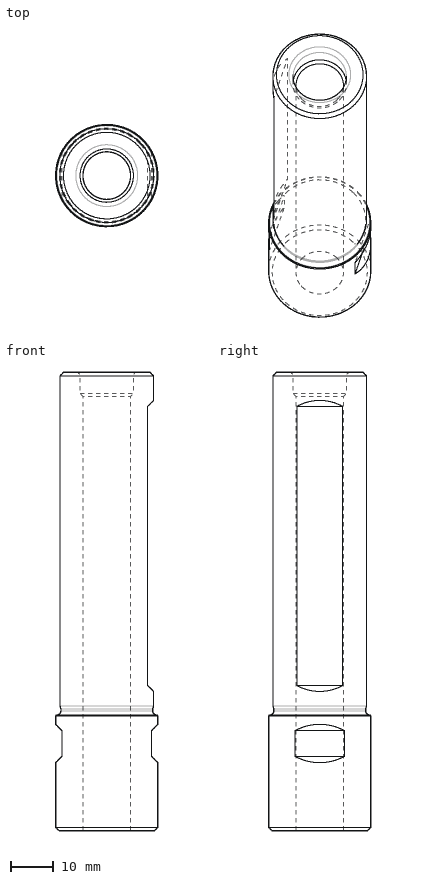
import cadquery as cq

total_height = 107.5
collar_diameter = 24.0
collar_height = 27.2
collar_top_chamfer = 0.2
shank_diameter = 22.0
end_chamfer = 0.85

relief_diameter = 21.6
relief_fillet = 0.9
relief_top = 28.6
relief_taper_height = 0.7

bore_diameter = 11.1
counterbore_diameter = 12.5
counterbore_depth = 5.0
mouth_fillet = 1.0

wrench_across_flats = 21.0
wrench_flat_height = 6.0
wrench_flat_center = 20.5

shank_flat_offset = 9.6
shank_flat_bottom = 34.1
shank_flat_top = 99.5


def revolve_about_z(outline):
    """Turn a closed XZ outline about the Z axis."""
    return outline.close().revolve(360, (0, 0), (0, 1))


def turned_body():
    collar_radius = collar_diameter / 2
    shank_radius = shank_diameter / 2
    relief_radius = relief_diameter / 2
    fillet_end_radius = relief_radius + relief_fillet
    fillet_end_height = collar_height + relief_fillet
    outline = (
        cq.Workplane("XZ")
        .lineTo(collar_radius - end_chamfer, 0)
        .lineTo(collar_radius, end_chamfer)
        .lineTo(collar_radius, collar_height - collar_top_chamfer)
        .lineTo(collar_radius - collar_top_chamfer, collar_height)
        .lineTo(fillet_end_radius, collar_height)
        .radiusArc((relief_radius, fillet_end_height), relief_fillet)
        .lineTo(relief_radius, relief_top)
        .lineTo(shank_radius, relief_top + relief_taper_height)
        .lineTo(shank_radius, total_height - end_chamfer)
        .lineTo(shank_radius - end_chamfer, total_height)
        .lineTo(0, total_height)
    )
    return revolve_about_z(outline)


def stepped_bore():
    bore_radius = bore_diameter / 2
    counterbore_radius = counterbore_diameter / 2
    seat_top = total_height - counterbore_depth
    seat_bottom = seat_top - (counterbore_radius - bore_radius)
    outline = (
        cq.Workplane("XZ")
        .lineTo(bore_radius, 0)
        .lineTo(bore_radius, seat_bottom)
        .lineTo(counterbore_radius, seat_top)
        .lineTo(counterbore_radius, total_height - mouth_fillet)
        .radiusArc((counterbore_radius + mouth_fillet, total_height), mouth_fillet)
        .lineTo(0, total_height)
    )
    return revolve_about_z(outline)


def flat_cutter(offset, bottom, top, side):
    """Cutter for a flat facing side * X, with 45 degree run-outs at both ends."""
    reach = collar_diameter - offset
    outline = [
        (side * offset, bottom),
        (side * offset, top),
        (side * collar_diameter, top + reach),
        (side * collar_diameter, bottom - reach),
    ]
    return cq.Workplane("XZ").polyline(outline).close().extrude(collar_diameter / 2, both=True)


result = turned_body().cut(stepped_bore())

wrench_flat_bottom = wrench_flat_center - wrench_flat_height / 2
wrench_flat_top = wrench_flat_center + wrench_flat_height / 2
for side in (-1, 1):
    wrench_flat = flat_cutter(wrench_across_flats / 2, wrench_flat_bottom, wrench_flat_top, side)
    result = result.cut(wrench_flat)

result = result.cut(flat_cutter(shank_flat_offset, shank_flat_bottom, shank_flat_top, 1))